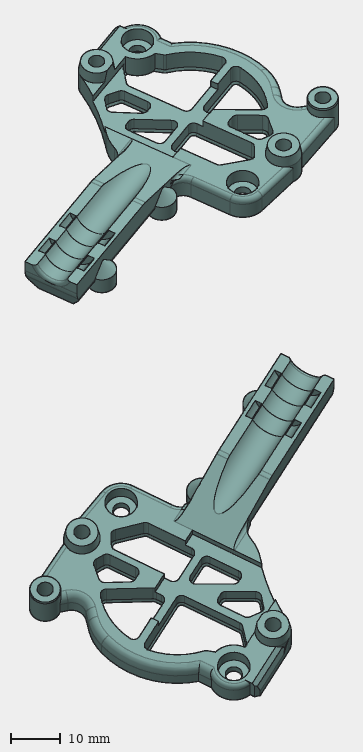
import cadquery as cq
import math


LENGTH = 74.89
PLATE_T = 5.0
OVERCUT = 1.0

BOSS_X = 21.93
BOSS_TOP_R = 3.25
BOSS_BASE_R = 3.66
BOSS_H = 2.5
BOSS_TOP_Z = PLATE_T + BOSS_H
BOSS_BORE_R = 3.2 / 2
POST_Y = 15.1
POST_R = 6.34 / 2
POST_CHAMFER_H = 0.4
POST_CHAMFER_W = 0.15
SCREW_CIRCLE_R = 22.0
SCREW_ANGLE = 30
SCREW_X = SCREW_CIRCLE_R * math.cos(math.radians(SCREW_ANGLE))
SCREW_Y = SCREW_CIRCLE_R * math.sin(math.radians(SCREW_ANGLE))
SCREW_R = 3.4 / 2
HEAD_R = 6.5 / 2
HEAD_DEPTH = 3.2
LUG_R = 4.95
LUG_EDGE_R = 1.0

DOME_R = 20.0
DOME_END_ANGLE = 59.1
DOME_BLEND_R = 12.0
DOME_EDGE_R = 1.9
SHELF_Y = 15.0
SHELF_START_X = -17.0
VALLEY_CORNER = (15.35, 11.4)
VALLEY_R = 3.0
NECK_END = (BOSS_X - 1.5, POST_Y + 1.0)
RIGHT_UPPER_START = (BOSS_X + POST_R - 0.05, POST_Y)
RIGHT_UPPER_END = (24.75, 2.0)
RIGHT_LOWER_START = (25.4, 0.0)
RIGHT_LOWER_TANGENT_ANGLE = -6.5
SIDE_EDGE_R = 1.15
WALL_X = -(BOSS_X + BOSS_BASE_R)
WALL_TOP_Y = 12.65
WALL_CORNER_W = 0.9
WALL_CORNER_H = 0.8
FLANK_START_ANGLE = 235
FLANK_MID = (-14.9, -9.9)
FLANK_END = (-11.6, -13.35)
HIP_MID = (-10.0, -14.95)
HIP_END = (-7.85, -16.3)
LEFT_WEB_MID = (-6.0, -17.9)
LEFT_WEB_END_Y = -20.5
RIGHT_WEB_R = 3.0
WEB_RELIEF_START_Y = -16.8
WEB_RELIEF_H = 2.4

BEVEL_LOW_Z = 1.9
BEVEL_MID_Z = 4.0
BEVEL_MID_W = 0.45
BEVEL_TOP_W = 1.4
BEVEL_Y = (2.1, 10.8)
BEVEL_RUNOUT = 1.8

RECESS_X = (-18.83, 3.5)
RECESS_Y = (-12.4, 9.28)
RECESS_FLOOR_Z = 3.38

RIB_HALF_W = 0.85
LEFT_ARC_R = 16.2
RIGHT_ARC_R = 15.65
WINDOW_LOW_Y = -9.5
WINDOW_CORNER_R = 1.25
LIP_W = 0.35
LIP_H = 0.6
LEFT_ARC_START_X = -12.3
LEFT_ARC_MID_ANGLE = 115
RIGHT_ARC_END_X = 13.1
RIGHT_ARC_MID_ANGLE = 60
LEFT_WINDOW_CORNERS = (
    (-RIB_HALF_W, RIB_HALF_W),
    (-15.3, RIB_HALF_W),
    (RECESS_X[0], 4.95),
    (RECESS_X[0], 8.0),
    (-14.5, 9.8),
)
RIGHT_WINDOW_LOW_Y = 2.9
RIGHT_WINDOW_SLOPE_X = 3.6
POLYGON_WINDOWS = (
    ((8.0, 3.75), (8.0, 0.62), (15.9, 0.62), (17.5, 3.6), (13.7, 7.15)),
    ((-15.5, -RIB_HALF_W), (-17.7, -4.05), (-14.9, -7.45), (-8.2, -3.8), (-8.2, -RIB_HALF_W)),
    ((-RIB_HALF_W, -1.65), (-RIB_HALF_W, WINDOW_LOW_Y), (-9.9, WINDOW_LOW_Y), (-9.9, -6.7)),
    (
        (RIB_HALF_W, -RIB_HALF_W),
        (15.55, -RIB_HALF_W),
        (17.75, -4.25),
        (12.5, WINDOW_LOW_Y),
        (RIB_HALF_W, WINDOW_LOW_Y),
    ),
)

HANDLE_X = 0.79
HANDLE_W = 12.2
HANDLE_LEFT = HANDLE_X - HANDLE_W / 2
HANDLE_RIGHT = HANDLE_X + HANDLE_W / 2
HANDLE_TOP_Z = 8.5
HANDLE_END_Y = DOME_R - LENGTH
HANDLE_ROOT_Y = RECESS_Y[0]
RAMP_END_Y = -28.95
RAMP_BLEND_R = 5.0
NOSE_UPPER_Z = 5.83
NOSE_LOWER = (-54.52, 4.0)
NOSE_FOOT_Y = -53.0
KEEL_W = 2.0
KEEL_H = 3.05
KEEL_BLEND_R = 2.0
ROOT_FILLET_R = 0.86

GROOVE_AXIS_Z = 10.0
GROOVE_R = 3.9
MOUTH_R = 0.8
STRAP_W = 4.0
STRAP_Y = (-40.9, -48.9)
STRAP_INNER_R = 4.1
STRAP_OUTER_R = 5.5

PEG_R = 3.0
PEG_X = 6.62
PEG_Y = (-21.76, -44.9)
PEG_SHOULDER_Z = 3.8

QUARTER_SAG = 1 - math.sqrt(0.5)


def polar(radius, degrees, center=(0, 0)):
    angle = math.radians(degrees)
    return (center[0] + radius * math.cos(angle), center[1] + radius * math.sin(angle))


def height_on_circle(radius, x):
    return math.sqrt(radius**2 - x**2)


def cylinder(x, y, z, radius, height):
    return cq.Workplane("XY", origin=(x, y, z)).circle(radius).extrude(height)


def cone(x, y, z, bottom_r, top_r, height):
    return cq.Workplane(cq.Solid.makeCone(bottom_r, top_r, height, cq.Vector(x, y, z)))


def plate_profile():
    """Closed plate outline, clockwise from the left boss."""
    left_boss = (-BOSS_X, 0)
    lug = (SCREW_X, -SCREW_Y)
    lug_bottom_y = -SCREW_Y - LUG_R
    web_sag = RIGHT_WEB_R * QUARTER_SAG
    return (
        cq.Workplane("XY")
        .moveTo(WALL_X, 0)
        .lineTo(WALL_X, WALL_TOP_Y - WALL_CORNER_H)
        .lineTo(WALL_X + WALL_CORNER_W, WALL_TOP_Y)
        .lineTo(SHELF_START_X, WALL_TOP_Y)
        .lineTo(SHELF_START_X, SHELF_Y)
        .lineTo(-height_on_circle(DOME_R, SHELF_Y), SHELF_Y)
        .threePointArc((0, DOME_R), polar(DOME_R, DOME_END_ANGLE))
        .lineTo(*VALLEY_CORNER)
        .lineTo(*NECK_END)
        .lineTo(*RIGHT_UPPER_START)
        .lineTo(*RIGHT_UPPER_END)
        .lineTo(*RIGHT_LOWER_START)
        .lineTo(*polar(LUG_R, RIGHT_LOWER_TANGENT_ANGLE, lug))
        .threePointArc(polar(LUG_R, -45, lug), (SCREW_X, lug_bottom_y))
        .lineTo(HANDLE_RIGHT + RIGHT_WEB_R, lug_bottom_y)
        .threePointArc(
            (HANDLE_RIGHT + web_sag, lug_bottom_y - web_sag),
            (HANDLE_RIGHT, lug_bottom_y - RIGHT_WEB_R),
        )
        .lineTo(HANDLE_LEFT, LEFT_WEB_END_Y)
        .threePointArc(LEFT_WEB_MID, HIP_END)
        .threePointArc(HIP_MID, FLANK_END)
        .threePointArc(FLANK_MID, polar(BOSS_BASE_R, FLANK_START_ANGLE, left_boss))
        .threePointArc(
            polar(BOSS_BASE_R, (180 + FLANK_START_ANGLE) / 2, left_boss), (WALL_X, 0)
        )
        .close()
    )


def round_corner(body, point, radius):
    nearest = cq.selectors.NearestToPointSelector((point[0], point[1], PLATE_T / 2))
    return body.edges("|Z").edges(nearest).fillet(radius)


def round_top_edges(body, x_range, y_range, radius):
    """Fillet the top edges whose centers lie inside the given range."""
    low = (x_range[0], y_range[0], PLATE_T - OVERCUT)
    high = (x_range[1], y_range[1], PLATE_T + OVERCUT)
    return body.faces(">Z").edges(cq.selectors.BoxSelector(low, high)).fillet(radius)


def make_plate():
    plate = plate_profile().extrude(PLATE_T)
    plate = round_corner(plate, VALLEY_CORNER, VALLEY_R)
    plate = round_corner(plate, polar(DOME_R, DOME_END_ANGLE), DOME_BLEND_R)
    dome_x = (SHELF_START_X + 0.5, BOSS_X - POST_R / 2)
    plate = round_top_edges(plate, dome_x, (VALLEY_CORNER[1], DOME_R), DOME_EDGE_R)
    side_x = (HANDLE_RIGHT + RIGHT_WEB_R, BOSS_X + BOSS_BASE_R)
    return round_top_edges(plate, side_x, (-DOME_R, VALLEY_CORNER[1]), SIDE_EDGE_R)


def bevel_tool():
    """Two-step bevel along the left wall, leaving the boss's root whole."""
    wedge = (
        cq.Workplane("XZ")
        .polyline([
            (WALL_X, BEVEL_LOW_Z),
            (WALL_X + BEVEL_MID_W, BEVEL_MID_Z),
            (WALL_X + BEVEL_TOP_W, PLATE_T),
            (WALL_X - OVERCUT, PLATE_T),
            (WALL_X - OVERCUT, BEVEL_LOW_Z),
        ])
        .close()
        .extrude(-DOME_R)
    )
    sloped_ends = (
        cq.Workplane("YZ", origin=(WALL_X - OVERCUT, 0, 0))
        .polyline([
            (BEVEL_Y[0], BEVEL_LOW_Z),
            (BEVEL_Y[0] - BEVEL_RUNOUT, PLATE_T),
            (WALL_TOP_Y, PLATE_T),
            (WALL_TOP_Y, BEVEL_LOW_Z),
        ])
        .close()
        .extrude(BEVEL_TOP_W + 2 * OVERCUT)
    )
    boss_root = cylinder(-BOSS_X, 0, 0, BOSS_BASE_R, PLATE_T)
    return wedge.intersect(sloped_ends).cut(boss_root)


def web_relief_tool():
    """Sloped cut that thins the left web from below, where it meets the handle's keel."""
    end_y = LEFT_WEB_END_Y - OVERCUT
    return (
        cq.Workplane("YZ", origin=(HIP_END[0], 0, 0))
        .polyline([
            (WEB_RELIEF_START_Y, 0),
            (LEFT_WEB_END_Y, WEB_RELIEF_H),
            (end_y, WEB_RELIEF_H),
            (end_y, -OVERCUT),
            (WEB_RELIEF_START_Y, -OVERCUT),
        ])
        .close()
        .extrude(HANDLE_X - HIP_END[0])
    )


def boss_cone(x):
    return cone(x, 0, PLATE_T, BOSS_BASE_R, BOSS_TOP_R, BOSS_H)


def make_post():
    post = cylinder(BOSS_X, POST_Y, 0, POST_R, BOSS_TOP_Z)
    return post.faces(">Z").chamfer(POST_CHAMFER_H, POST_CHAMFER_W)


def make_lug():
    """Screw lug at the upper left: rounded on its outer half, sharp toward the window."""
    disc = cylinder(-SCREW_X, SCREW_Y, 0, LUG_R, PLATE_T)
    inner_half = (
        cq.Workplane("XY", origin=(-SCREW_X, SCREW_Y - LUG_R, 0))
        .rect(2 * LUG_R, 2 * LUG_R)
        .extrude(PLATE_T)
        .intersect(disc)
    )
    return disc.faces(">Z").edges().fillet(LUG_EDGE_R).union(inner_half)


def cut_holes(body):
    for x, y in ((-BOSS_X, 0), (BOSS_X, 0), (BOSS_X, POST_Y)):
        body = body.cut(cylinder(x, y, -OVERCUT, BOSS_BORE_R, BOSS_TOP_Z + 2 * OVERCUT))
    for x, y in ((-SCREW_X, SCREW_Y), (SCREW_X, -SCREW_Y)):
        body = body.cut(cylinder(x, y, -OVERCUT, SCREW_R, PLATE_T + 2 * OVERCUT))
        body = body.cut(cylinder(x, y, PLATE_T - HEAD_DEPTH, HEAD_R, HEAD_DEPTH + OVERCUT))
    return body


def recess_tool():
    width = RECESS_X[1] - RECESS_X[0]
    length = RECESS_Y[1] - RECESS_Y[0]
    return (
        cq.Workplane("XY", origin=(RECESS_X[0], RECESS_Y[0], RECESS_FLOOR_Z))
        .rect(width, length, centered=False)
        .extrude(BOSS_TOP_Z - RECESS_FLOOR_Z)
    )


def upper_left_window():
    """Its upper-left corner runs under the screw lug, which is added afterwards."""
    return (
        cq.Workplane("XY")
        .polyline(LEFT_WINDOW_CORNERS)
        .lineTo(LEFT_ARC_START_X, height_on_circle(LEFT_ARC_R, LEFT_ARC_START_X))
        .threePointArc(
            polar(LEFT_ARC_R, LEFT_ARC_MID_ANGLE),
            (-RIB_HALF_W, height_on_circle(LEFT_ARC_R, RIB_HALF_W)),
        )
        .close()
    )


def upper_right_window():
    return (
        cq.Workplane("XY")
        .moveTo(RIB_HALF_W, height_on_circle(RIGHT_ARC_R, RIB_HALF_W))
        .threePointArc(
            polar(RIGHT_ARC_R, RIGHT_ARC_MID_ANGLE),
            (RIGHT_ARC_END_X, height_on_circle(RIGHT_ARC_R, RIGHT_ARC_END_X)),
        )
        .lineTo(RIGHT_WINDOW_SLOPE_X, RIGHT_WINDOW_LOW_Y)
        .lineTo(RIB_HALF_W, RIGHT_WINDOW_LOW_Y)
        .close()
    )


def cut_windows(body):
    profiles = [upper_left_window(), upper_right_window()]
    for points in POLYGON_WINDOWS:
        profiles.append(cq.Workplane("XY").polyline(points).close())
    for profile in profiles:
        tool = profile.extrude(PLATE_T + OVERCUT).edges("|Z").fillet(WINDOW_CORNER_R)
        body = body.cut(tool.faces("<Z").chamfer(LIP_H, LIP_W))
    return body


def handle_side():
    """Side shape of the handle: ramp, flat top and undercut nose."""
    side = (
        cq.Workplane("YZ", origin=(HANDLE_LEFT, 0, 0))
        .moveTo(HANDLE_ROOT_Y, 0)
        .lineTo(HANDLE_ROOT_Y, PLATE_T)
        .lineTo(RAMP_END_Y, HANDLE_TOP_Z)
        .lineTo(HANDLE_END_Y, HANDLE_TOP_Z)
        .lineTo(HANDLE_END_Y, NOSE_UPPER_Z)
        .tangentArcPoint(NOSE_LOWER, relative=False)
        .lineTo(NOSE_FOOT_Y, 0)
        .close()
        .extrude(HANDLE_W)
    )
    ramp_top = cq.selectors.NearestToPointSelector((HANDLE_X, RAMP_END_Y, HANDLE_TOP_Z))
    return side.edges("|X").edges(ramp_top).fillet(RAMP_BLEND_R)


def handle_section():
    """Cross-section of the handle: a block with a beveled keel."""
    half = HANDLE_W / 2
    section = (
        cq.Workplane("XZ", origin=(HANDLE_X, 0, 0))
        .polyline([
            (-half, HANDLE_TOP_Z),
            (-half, KEEL_H),
            (KEEL_W - half, 0),
            (half - KEEL_W, 0),
            (half, KEEL_H),
            (half, HANDLE_TOP_Z),
        ])
        .close()
        .extrude(-HANDLE_END_Y + OVERCUT)
    )
    for x in (HANDLE_LEFT, HANDLE_RIGHT):
        ridge = cq.selectors.NearestToPointSelector((x, HANDLE_END_Y / 2, KEEL_H))
        section = section.edges("|Y").edges(ridge).fillet(KEEL_BLEND_R)
    return section


def root_fillets():
    """Concave strips between the handle's sides and the plate's top, cut off by the ramp."""
    under_ramp = (
        cq.Workplane("YZ", origin=(WALL_X, 0, 0))
        .polyline([(HANDLE_ROOT_Y, PLATE_T), (RAMP_END_Y, HANDLE_TOP_Z), (RAMP_END_Y, PLATE_T)])
        .close()
        .extrude(-2 * WALL_X)
    )
    over_plate = plate_profile().extrude(HANDLE_TOP_Z)
    sag = ROOT_FILLET_R * QUARTER_SAG
    strips = []
    for wall_x, outward in ((HANDLE_LEFT, -1), (HANDLE_RIGHT, 1)):
        strip = (
            cq.Workplane("XZ", origin=(wall_x, HANDLE_ROOT_Y, PLATE_T))
            .lineTo(outward * ROOT_FILLET_R, 0)
            .threePointArc((outward * sag, sag), (0, ROOT_FILLET_R))
            .close()
            .extrude(HANDLE_ROOT_Y - LEFT_WEB_END_Y)
        )
        strips.append(strip.intersect(under_ramp).intersect(over_plate))
    return strips


def groove_tool():
    """Round trough along the handle, with a flared mouth at the handle's end."""
    groove = (
        cq.Workplane("XZ", origin=(HANDLE_X, 0, GROOVE_AXIS_Z))
        .circle(GROOVE_R)
        .extrude(-HANDLE_END_Y + OVERCUT)
    )
    sag = MOUTH_R * QUARTER_SAG
    mouth_y = HANDLE_END_Y + MOUTH_R
    mouth = (
        cq.Workplane("XY", origin=(HANDLE_X, 0, GROOVE_AXIS_Z))
        .moveTo(0, HANDLE_END_Y)
        .lineTo(GROOVE_R + MOUTH_R, HANDLE_END_Y)
        .threePointArc((GROOVE_R + sag, HANDLE_END_Y + sag), (GROOVE_R, mouth_y))
        .lineTo(0, mouth_y)
        .close()
        .revolve(360, (0, 0, 0), (0, 1, 0))
    )
    return groove.union(mouth)


def strap_tool(y):
    """Ring-shaped tunnel that passes under the groove."""
    return (
        cq.Workplane("XZ", origin=(HANDLE_X, y + STRAP_W / 2, GROOVE_AXIS_Z))
        .circle(STRAP_OUTER_R)
        .circle(STRAP_INNER_R)
        .extrude(STRAP_W)
    )


def side_peg(y):
    """Upright round peg with a 45 degree point, half sunk into the handle's side."""
    shank = cylinder(PEG_X, y, 0, PEG_R, PEG_SHOULDER_Z)
    return shank.union(cone(PEG_X, y, PEG_SHOULDER_Z, PEG_R, 0, PEG_R))


body = make_plate().cut(bevel_tool()).cut(web_relief_tool())
body = body.union(cylinder(BOSS_X, 0, 0, BOSS_BASE_R, PLATE_T))
body = body.union(boss_cone(-BOSS_X))
body = body.union(boss_cone(BOSS_X))
body = body.union(make_post())
body = body.cut(recess_tool())
body = cut_windows(body)
body = body.union(make_lug())
body = cut_holes(body)

body = body.union(handle_side().intersect(handle_section()))
for strip in root_fillets():
    body = body.union(strip)
for peg_y in PEG_Y:
    body = body.union(side_peg(peg_y))
body = body.cut(groove_tool())
for strap_y in STRAP_Y:
    body = body.cut(strap_tool(strap_y))

result = body